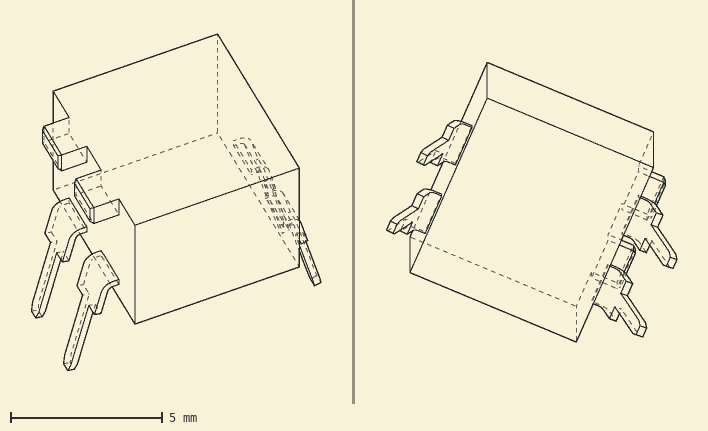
import cadquery as cq
import math

BODY_WIDTH = 6.48
BODY_DEPTH = 6.0
BODY_HEIGHT = 5.0

PITCH = 2.54

KNOB_WIDTH = 1.395
KNOB_HEIGHT = 0.8
KNOB_LENGTH = 1.02
KNOB_BEVEL_LENGTH = 0.1
KNOB_BEVEL_INSET = 0.08

OVERALL_DEPTH = 9.24
OVERALL_HEIGHT = 8.5
LEAD_THICKNESS = 0.25
LEAD_TOP = 0.93
BEND_INNER_RADIUS = 0.2
BEND_OUTER_RADIUS = BEND_INNER_RADIUS + LEAD_THICKNESS
LEG_TILT = math.radians(13.6)
SHOULDER_WIDTH = 1.395
SHOULDER_LENGTH = 1.035
STEM_WIDTH = 0.5
TIP_WIDTH = 0.33
TIP_LENGTH = 0.33

LEG_DIRECTION = (math.sin(LEG_TILT), -math.cos(LEG_TILT))
LEG_NORMAL = (math.cos(LEG_TILT), math.sin(LEG_TILT))
MID_BEND = math.pi / 4 + LEG_TILT / 2

BEND_Z = LEAD_TOP - BEND_OUTER_RADIUS
TIP_BOTTOM = BODY_HEIGHT - OVERALL_HEIGHT
LEG_LENGTH = (BEND_Z + BEND_INNER_RADIUS * LEG_NORMAL[1] - TIP_BOTTOM) / math.cos(LEG_TILT)
BEND_Y = OVERALL_DEPTH / 2 - BEND_OUTER_RADIUS * LEG_NORMAL[0] - LEG_LENGTH * LEG_DIRECTION[0]


def bend_point(radius, angle):
    """Point on the bend at the given angle above the outward direction."""
    return (BEND_Y + radius * math.cos(angle), BEND_Z + radius * math.sin(angle))


def leg_point(radius, distance):
    """Point on the straight leg, at a distance past the end of the bend."""
    y, z = bend_point(radius, LEG_TILT)
    return (y + distance * LEG_DIRECTION[0], z + distance * LEG_DIRECTION[1])


def bent_strip():
    """Shoulder-wide strip that leaves the +Y face and bends down and outward."""
    return (
        cq.Workplane("YZ")
        .moveTo(BODY_DEPTH / 2, LEAD_TOP)
        .lineTo(BEND_Y, LEAD_TOP)
        .threePointArc(bend_point(BEND_OUTER_RADIUS, MID_BEND), leg_point(BEND_OUTER_RADIUS, 0))
        .lineTo(*leg_point(BEND_OUTER_RADIUS, SHOULDER_LENGTH))
        .lineTo(*leg_point(BEND_INNER_RADIUS, SHOULDER_LENGTH))
        .lineTo(*leg_point(BEND_INNER_RADIUS, 0))
        .threePointArc(bend_point(BEND_INNER_RADIUS, MID_BEND), (BEND_Y, LEAD_TOP - LEAD_THICKNESS))
        .lineTo(BODY_DEPTH / 2, LEAD_TOP - LEAD_THICKNESS)
        .close()
        .extrude(SHOULDER_WIDTH / 2, both=True)
    )


def pin():
    """Narrow stem with a tapered tip, continuing the leg below the shoulder."""
    start_y, start_z = leg_point(BEND_INNER_RADIUS, SHOULDER_LENGTH)
    pin_length = LEG_LENGTH - SHOULDER_LENGTH
    leg_plane = cq.Plane(
        origin=(0, start_y, start_z),
        xDir=(1, 0, 0),
        normal=(0, *LEG_NORMAL),
    )
    return (
        cq.Workplane(leg_plane)
        .polyline([
            (-STEM_WIDTH / 2, 0),
            (STEM_WIDTH / 2, 0),
            (STEM_WIDTH / 2, pin_length - TIP_LENGTH),
            (TIP_WIDTH / 2, pin_length),
            (-TIP_WIDTH / 2, pin_length),
            (-STEM_WIDTH / 2, pin_length - TIP_LENGTH),
        ])
        .close()
        .extrude(LEAD_THICKNESS)
    )


def knob():
    """Actuator block with a bevelled end, projecting from the -Y face."""
    shank_length = KNOB_LENGTH - KNOB_BEVEL_LENGTH
    face = cq.Workplane("XZ", origin=(0, -BODY_DEPTH / 2, BODY_HEIGHT - KNOB_HEIGHT / 2))
    shank = face.rect(KNOB_WIDTH, KNOB_HEIGHT).extrude(shank_length)
    bevel = (
        face.workplane(offset=shank_length)
        .rect(KNOB_WIDTH, KNOB_HEIGHT)
        .workplane(offset=KNOB_BEVEL_LENGTH)
        .rect(KNOB_WIDTH - 2 * KNOB_BEVEL_INSET, KNOB_HEIGHT - 2 * KNOB_BEVEL_INSET)
        .loft(ruled=True)
    )
    return shank.union(bevel)


back_lead = bent_strip().union(pin())
front_lead = back_lead.mirror("XZ")
switch = knob().union(front_lead).union(back_lead)

result = cq.Workplane("XY").box(BODY_WIDTH, BODY_DEPTH, BODY_HEIGHT, centered=(True, True, False))
for x in (-PITCH / 2, PITCH / 2):
    result = result.union(switch.translate((x, 0, 0)))